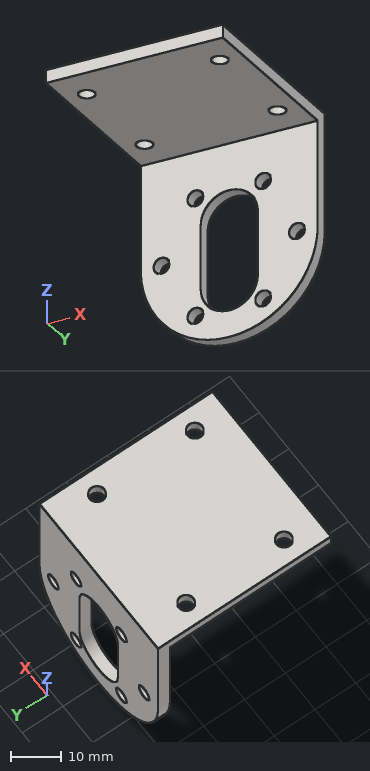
import cadquery as cq

width = 40.0
depth = 42.5
height = 46.6
thickness = 3.0

end_radius = width / 2
round_center_z = end_radius - height
hole_diameter = 3.5
bolt_circle_radius = 15.3
bolt_count = 6
slot_width = 12.85
slot_length = 27.05
slot_center_z = -27.05

top_hole_spacing_x = 30.0
top_hole_spacing_y = 24.0
front_hole_inset = 7.95


def make_top_plate():
    """Horizontal plate with its upper face at Z = 0 and its front edge at Y = 0."""
    plate = cq.Workplane("XY").box(width, depth, thickness, centered=(True, False, False))
    plate = plate.translate((0, 0, -thickness))
    pattern_center_y = front_hole_inset + top_hole_spacing_y / 2
    holes = (
        cq.Workplane("XY")
        .center(0, pattern_center_y)
        .rect(top_hole_spacing_x, top_hole_spacing_y, forConstruction=True)
        .vertices()
        .circle(hole_diameter / 2)
        .extrude(-thickness)
    )
    return plate.cut(holes)


def make_upright_plate():
    """Vertical plate along the back edge, with a half-round bottom."""
    back = cq.Workplane("XZ", origin=(0, depth, 0))
    plate = (
        back.moveTo(-end_radius, 0)
        .lineTo(-end_radius, round_center_z)
        .threePointArc((0, -height), (end_radius, round_center_z))
        .lineTo(end_radius, 0)
        .close()
        .extrude(thickness)
    )
    slot = back.center(0, slot_center_z).slot2D(slot_length, slot_width, 90).extrude(thickness)
    bolt_holes = (
        back.center(0, round_center_z)
        .polarArray(bolt_circle_radius, 0, 360, bolt_count)
        .circle(hole_diameter / 2)
        .extrude(thickness)
    )
    return plate.cut(slot).cut(bolt_holes)


result = make_top_plate().union(make_upright_plate())